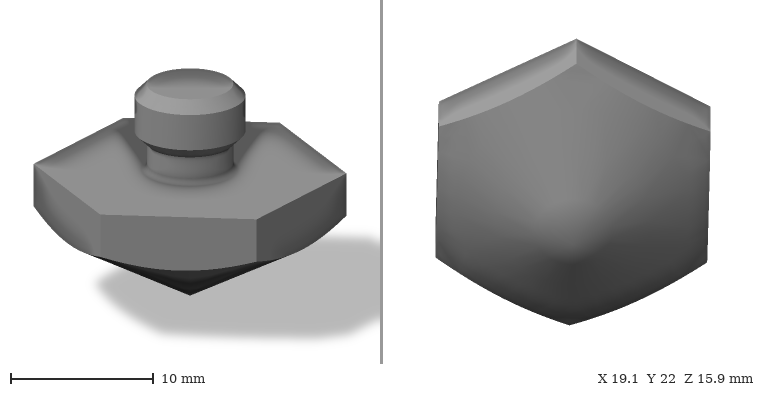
import cadquery as cq
import math

corner_diameter = 22.0
cone_slope = math.tan(math.radians(30))
head_top = 9.53
cone_height = head_top
cone_radius = cone_height / cone_slope

stud_height = 6.35
stud_radius = 3.9
neck_radius = 3.04
neck_height = 2.0
bevel = stud_radius - neck_radius
root_fillet = 0.4
stud_top = head_top + stud_height
collar_bottom = head_top + neck_height


def make_head():
    """Hexagonal prism with corners on the Y axis, cut to a cone underneath."""
    prism = (
        cq.Workplane("XY")
        .polygon(6, corner_diameter)
        .extrude(head_top)
        .rotate((0, 0, 0), (0, 0, 1), 90)
    )
    cone = (
        cq.Workplane("XZ")
        .lineTo(cone_radius, cone_height)
        .lineTo(0, cone_height)
        .close()
        .revolve(360, (0, 0), (0, 1))
    )
    return prism.intersect(cone)


def make_stud():
    """Bevelled collar on a narrower neck with a filleted root."""
    arc_offset = root_fillet * (1 - math.sqrt(0.5))
    return (
        cq.Workplane("XZ")
        .moveTo(0, head_top)
        .lineTo(neck_radius + root_fillet, head_top)
        .threePointArc(
            (neck_radius + arc_offset, head_top + arc_offset),
            (neck_radius, head_top + root_fillet),
        )
        .lineTo(neck_radius, collar_bottom)
        .lineTo(stud_radius, collar_bottom + bevel)
        .lineTo(stud_radius, stud_top - bevel)
        .lineTo(stud_radius - bevel, stud_top)
        .lineTo(0, stud_top)
        .close()
        .revolve(360, (0, 0), (0, 1))
    )


result = make_head().union(make_stud())